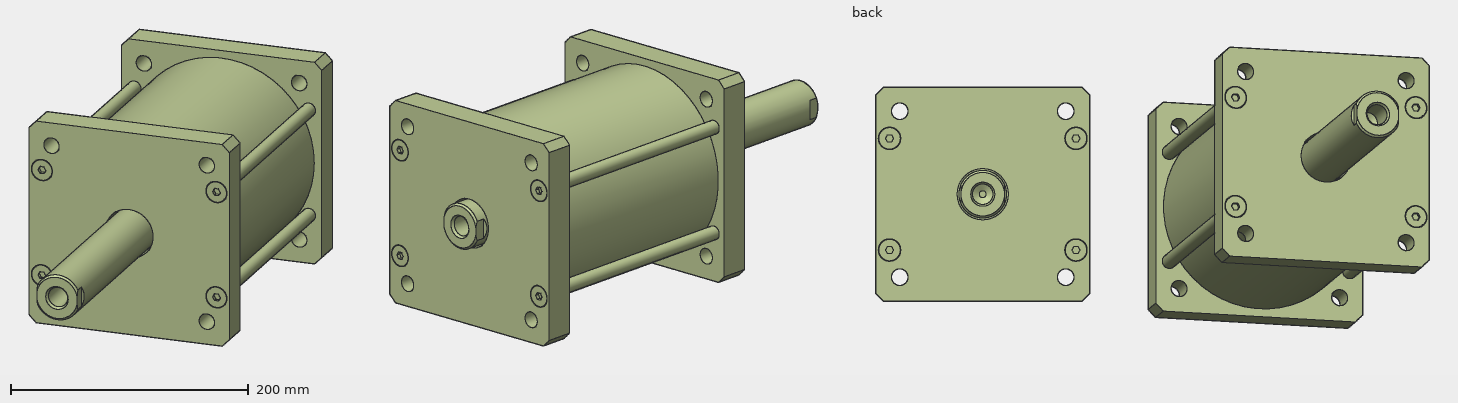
import cadquery as cq
import math


total_length = 431.0
body_length = 195.0
plate_thickness = 26.0
front_rod_length = 172.5
rear_rod_length = total_length - front_rod_length - body_length - 2 * plate_thickness

body_diameter = 167.0
plate_size = 180.0
corner_chamfer = 6.5
mount_hole_diameter = 14.0
mount_hole_offset = 70.0
rod_clearance_diameter = 43.0

tie_rod_diameter = 12.0
tie_rod_x = 78.5
tie_rod_z = 47.0
counterbore_diameter = 19.0
screw_head_diameter = 18.0
screw_head_height = 7.0
socket_width = 6.0
socket_depth = 3.5

rod_diameter = 40.0
rod_end_chamfer = 1.7
flat_width = 36.0
flat_length = 10.0
thread_hole_diameter = 17.2
thread_hole_depth = 34.5
countersink_diameter = 20.3
countersink_angle = 60.0
drill_tip_angle = 118.0

plate_inner_y = body_length / 2
plate_outer_y = plate_inner_y + plate_thickness
front_end_y = -(plate_outer_y + front_rod_length)
rear_end_y = plate_outer_y + rear_rod_length

mount_points = [(x, z) for x in (-mount_hole_offset, mount_hole_offset)
                for z in (-mount_hole_offset, mount_hole_offset)]
tie_rod_points = [(x, z) for x in (-tie_rod_x, tie_rod_x) for z in (-tie_rod_z, tie_rod_z)]


def plane_at(y, direction):
    """Plane across the axis at y, with its normal along direction * Y."""
    return cq.Workplane(cq.Plane(origin=(0, y, 0), xDir=(1, 0, 0), normal=(0, direction, 0)))


def make_plate(side):
    """End plate on the given side (-1 front, 1 rear), with all of its holes and screw heads."""
    plate = (
        plane_at(side * plate_inner_y, side)
        .rect(plate_size, plate_size)
        .extrude(plate_thickness)
        .edges("|Y")
        .chamfer(corner_chamfer)
    )
    outer_face = plane_at(side * plate_outer_y, side)
    mount_holes = (
        outer_face.pushPoints(mount_points)
        .circle(mount_hole_diameter / 2)
        .extrude(-plate_thickness)
    )
    rod_hole = outer_face.circle(rod_clearance_diameter / 2).extrude(-plate_thickness)

    clearance_rings = (
        outer_face.pushPoints(tie_rod_points)
        .circle(counterbore_diameter / 2)
        .circle(screw_head_diameter / 2)
        .extrude(-screw_head_height)
    )
    hex_corner_diameter = socket_width / math.cos(math.pi / 6)
    hex_sockets = (
        outer_face.pushPoints(tie_rod_points)
        .polygon(6, hex_corner_diameter)
        .extrude(-socket_depth)
    )
    return (
        plate.cut(mount_holes)
        .cut(rod_hole)
        .cut(clearance_rings)
        .cut(hex_sockets)
    )


def thread_hole(end_y, direction):
    """Countersunk blind hole with a drill tip, going from end_y into the rod along direction."""
    hole_radius = thread_hole_diameter / 2
    countersink_radius = countersink_diameter / 2
    countersink_depth = (
        (countersink_radius - hole_radius) / math.tan(math.radians(countersink_angle / 2))
    )
    tip_length = hole_radius / math.tan(math.radians(drill_tip_angle / 2))
    return (
        cq.Workplane("XY")
        .moveTo(0, end_y)
        .lineTo(countersink_radius, end_y)
        .lineTo(hole_radius, end_y + direction * countersink_depth)
        .lineTo(hole_radius, end_y + direction * thread_hole_depth)
        .lineTo(0, end_y + direction * (thread_hole_depth + tip_length))
        .close()
        .revolve(360, (0, 0, 0), (0, 1, 0))
    )


def wrench_flat(end_y, direction, side):
    """Cutter for one flat at a rod end, on side * X, ending in a 45 degree shoulder."""
    inner_x = flat_width / 2
    outer_x = rod_diameter
    shoulder_length = outer_x - inner_x
    return (
        cq.Workplane("XY")
        .moveTo(side * inner_x, end_y)
        .lineTo(side * outer_x, end_y)
        .lineTo(side * outer_x, end_y + direction * (flat_length + shoulder_length))
        .lineTo(side * inner_x, end_y + direction * flat_length)
        .close()
        .extrude(rod_diameter / 2, both=True)
    )


def make_rod():
    """Piston rod through the whole cylinder, with both ends finished alike."""
    rod = (
        plane_at(front_end_y, 1)
        .circle(rod_diameter / 2)
        .extrude(total_length)
        .faces("<Y or >Y")
        .chamfer(rod_end_chamfer)
    )
    for end_y, direction in ((front_end_y, 1), (rear_end_y, -1)):
        rod = rod.cut(thread_hole(end_y, direction))
        for side in (-1, 1):
            rod = rod.cut(wrench_flat(end_y, direction, side))
    return rod


body = plane_at(-plate_inner_y, 1).circle(body_diameter / 2).extrude(body_length)
tie_rods = (
    plane_at(-plate_inner_y, 1)
    .pushPoints(tie_rod_points)
    .circle(tie_rod_diameter / 2)
    .extrude(body_length)
)

result = body.union(tie_rods)
for plate_side in (-1, 1):
    result = result.union(make_plate(plate_side))
result = result.union(make_rod())